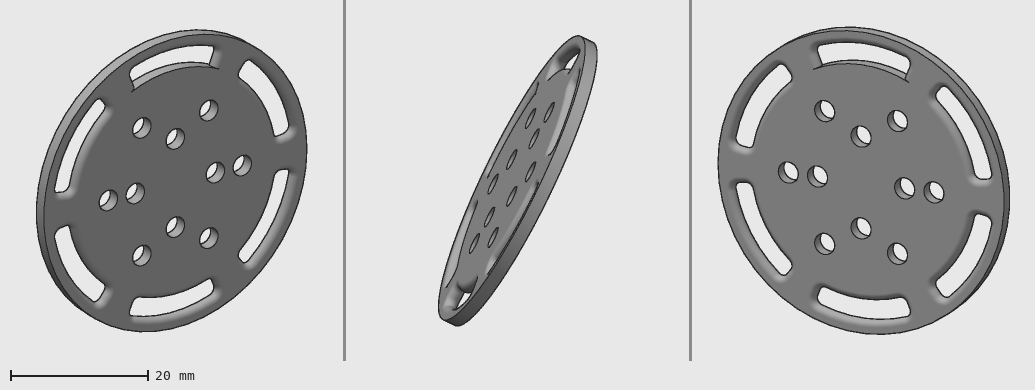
import cadquery as cq
import math

DISC_RADIUS = 23.0
THICKNESS = 2.0

SLOT_COUNT = 6
SLOT_PITCH = 360 / SLOT_COUNT
SLOT_INNER_RADIUS = 18.0
SLOT_OUTER_RADIUS = 21.0
SLOT_HALF_ANGLE = 22.0
SLOT_CORNER_RADIUS = 1.0

FLAT_WALL = 0.002
SLOT_RIM_FILLET = (THICKNESS - FLAT_WALL) / 2

TOP_SLOT_ANGLE = 90
TOP_SLOT_CUT_RADIUS = SLOT_INNER_RADIUS - 2 * SLOT_CORNER_RADIUS
FILLER_INNER_RADIUS = TOP_SLOT_CUT_RADIUS - 2 * SLOT_RIM_FILLET

HOLE_DIAMETER = 3.2
OUTER_HOLE_COUNT = 6
OUTER_HOLE_CIRCLE_RADIUS = 11.7
INNER_HOLE_COUNT = 4
INNER_HOLE_CIRCLE_RADIUS = 7.0


def polar(radius, angle):
    """Point in the disc plane at an angle in degrees from +Y towards +Z."""
    radians = math.radians(angle)
    return radius * math.cos(radians), radius * math.sin(radians)


def disc_plane():
    """YZ plane lying on the -X face of the disc."""
    return cq.Workplane("YZ", origin=(-THICKNESS / 2, 0, 0))


def ring_sector(inner_radius, outer_radius, middle_angle, half_angle):
    """Full-thickness piece of a ring, with radial ends."""
    start = middle_angle - half_angle
    end = middle_angle + half_angle
    return (
        disc_plane()
        .moveTo(*polar(inner_radius, start))
        .lineTo(*polar(outer_radius, start))
        .threePointArc(polar(outer_radius, middle_angle), polar(outer_radius, end))
        .lineTo(*polar(inner_radius, end))
        .threePointArc(polar(inner_radius, middle_angle), polar(inner_radius, start))
        .close()
        .extrude(THICKNESS)
    )


def slot(middle_angle, inner_radius):
    """Slot-shaped cutter with rounded corners."""
    sector = ring_sector(inner_radius, SLOT_OUTER_RADIUS, middle_angle, SLOT_HALF_ANGLE)
    return sector.edges("|X").fillet(SLOT_CORNER_RADIUS)


def slotted_disc():
    """Disc with every slot cut and the slot rims rounded on both faces."""
    disc = disc_plane().circle(DISC_RADIUS).extrude(THICKNESS)
    for index in range(1, SLOT_COUNT):
        disc = disc.cut(slot(TOP_SLOT_ANGLE + index * SLOT_PITCH, SLOT_INNER_RADIUS))
    disc = disc.cut(slot(TOP_SLOT_ANGLE, TOP_SLOT_CUT_RADIUS))
    slot_rims = []
    for face in disc.faces("<X or >X").vals():
        slot_rims.extend(face.innerWires())
    return disc.newObject(slot_rims).edges().fillet(SLOT_RIM_FILLET)


def top_slot_filler():
    """Material that closes the deep end of the top slot with a square wall."""
    return ring_sector(FILLER_INNER_RADIUS, SLOT_INNER_RADIUS, TOP_SLOT_ANGLE, SLOT_PITCH / 2)


def hole_circle(count, circle_radius):
    """Evenly spaced hole cutters, the first one on the +Y axis."""
    return (
        disc_plane()
        .polarArray(circle_radius, 0, 360, count)
        .circle(HOLE_DIAMETER / 2)
        .extrude(THICKNESS)
    )


result = (
    slotted_disc()
    .union(top_slot_filler())
    .cut(hole_circle(OUTER_HOLE_COUNT, OUTER_HOLE_CIRCLE_RADIUS))
    .cut(hole_circle(INNER_HOLE_COUNT, INNER_HOLE_CIRCLE_RADIUS))
)